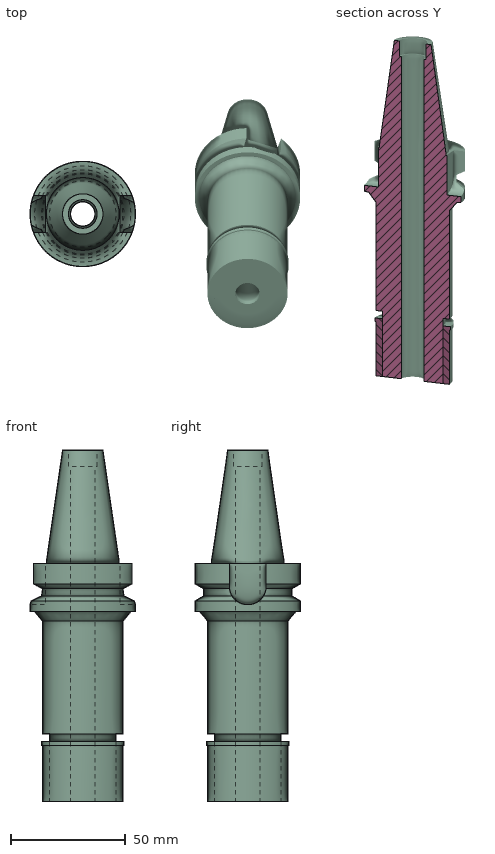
import cadquery as cq


gauge_radius = 31.75 / 2
taper_length = 48.4
taper_ratio = 7 / 24
taper_tip_radius = gauge_radius - taper_length * taper_ratio / 2

flange_radius = 23.0
flange_top = -1.0
groove_floor_radius = 19.3
groove_upper_edge = -9.9
groove_floor_top = -12.0
groove_floor_bottom = -15.25
groove_lower_edge = -17.4
flange_bottom = -22.0
collar_top_radius = 21.0

barrel_radius = 17.5
collar_height = 4.2
collar_bottom = flange_bottom - collar_height
barrel_bottom = -75.4
neck_radius = 14.5
overall_projection = 105.0
nose_bottom = -overall_projection

slot_width = 16.1
slot_floor_distance = 16.3
slot_depth = 18.0

bore_radius = 10.6 / 2
counterbore_radius = 12.5 / 2
counterbore_depth = 7.0

nut_top = -78.6
nut_radius = barrel_radius
rim_radius = 18.0
rim_height = 1.8
rim_bottom = nut_top - rim_height


def revolve_profile(points):
    """Turn a closed (radius, height) outline around the Z axis."""
    return cq.Workplane("XZ").polyline(points).close().revolve(360, (0, 0, 0), (0, 1, 0))


def make_slot_cutter():
    """Drive slot on the +X side: open at the top, with a full round lower end."""
    half_width = slot_width / 2
    slot_bottom = flange_top - slot_depth
    round_center = slot_bottom + half_width
    return (
        cq.Workplane("YZ", origin=(slot_floor_distance, 0, 0))
        .moveTo(-half_width, flange_top)
        .lineTo(-half_width, round_center)
        .threePointArc((0, slot_bottom), (half_width, round_center))
        .lineTo(half_width, flange_top)
        .close()
        .extrude(flange_radius - slot_floor_distance)
    )


def make_holder():
    """Taper, flange, barrel and neck in one turned body, bored through and slotted."""
    holder = revolve_profile([
        (bore_radius, nose_bottom),
        (neck_radius, nose_bottom),
        (neck_radius, barrel_bottom),
        (barrel_radius, barrel_bottom),
        (barrel_radius, collar_bottom),
        (collar_top_radius, flange_bottom),
        (flange_radius, flange_bottom),
        (flange_radius, groove_lower_edge),
        (groove_floor_radius, groove_floor_bottom),
        (groove_floor_radius, groove_floor_top),
        (flange_radius, groove_upper_edge),
        (flange_radius, flange_top),
        (gauge_radius, flange_top),
        (gauge_radius, 0),
        (taper_tip_radius, taper_length),
        (counterbore_radius, taper_length),
        (counterbore_radius, taper_length - counterbore_depth),
        (bore_radius, taper_length - counterbore_depth),
    ])
    slot_cutter = make_slot_cutter()
    for angle in (0, 180):
        holder = holder.cut(slot_cutter.rotate((0, 0, 0), (0, 0, 1), angle))
    return holder


def make_nut():
    """Sleeve around the neck, with a slightly larger rim at its upper end."""
    return revolve_profile([
        (neck_radius, nose_bottom),
        (nut_radius, nose_bottom),
        (nut_radius, rim_bottom),
        (rim_radius, rim_bottom),
        (rim_radius, nut_top),
        (neck_radius, nut_top),
    ])


holder = make_holder()
nut = make_nut()

result = cq.Compound.makeCompound([holder.val(), nut.val()])